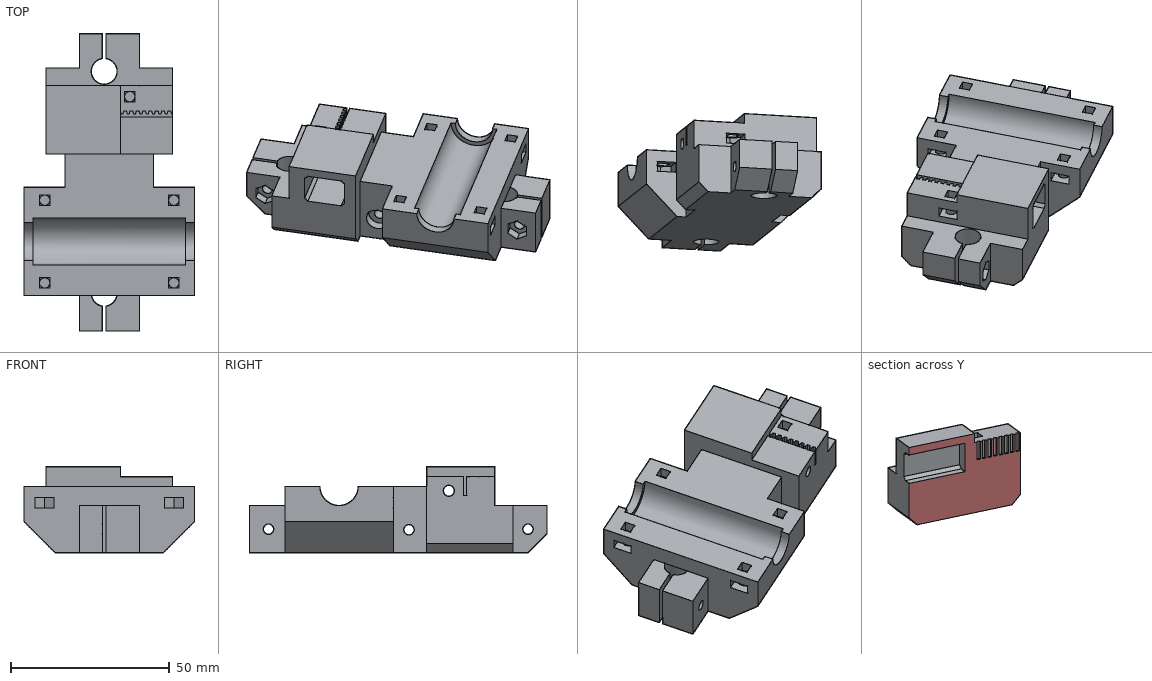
import cadquery as cq
import math

block_length = 54.0
block_front = -35.8
block_back = -1.5
block_height = 21.1
block_bottom_length = 34.0

neck_width = 28.0

belt_block_width = 40.0
belt_block_front = 8.9
belt_block_back = 30.55
belt_block_top = 27.3
shelf_top = 24.2
shelf_start = 3.6

part_length = 94.0
clamp_width = 19.0
clamp_center = 0.1
clamp_height = 15.0
plate_back = 36.2
rear_clamp_chamfer = 6.0
clamp_rod_diameter = 8.1
clamp_rod_x = -1.6
clamp_rod_front_y = -35.1
clamp_rod_rear_y = 35.1
clamp_slit = 1.1
clamp_bolt_y = 41.0
clamp_bolt_height = 7.5
clamp_left = clamp_center - clamp_width / 2
clamp_right = clamp_center + clamp_width / 2

seat_y = -18.7
seat_diameter = 14.85
seat_length = 48.3
rod_clearance_diameter = 12.0

clamp_bolt_diameter = 3.2
nut_corner_diameter = 7.0
nut_flats = nut_corner_diameter * math.cos(math.pi / 6)
nut_thickness = 3.2
clamp_nut_depth = 3.0
nut_cover = 3.6
window_size = 3.3
trap_bolt_diameter = 3.3
bolt_tip_depth = 6.0
trap_x = 20.4
trap_front_y = -31.8
trap_rear_y = -5.6
belt_trap_x = 6.5
belt_trap_y = 27.1

cross_hole_y = 3.4
cross_hole_height = 7.3
cross_hole_diameter = 3.2
counterbore_diameter = 7.0
counterbore_depth = 3.0

pocket_front = 12.6
pocket_back = 25.5
pocket_bottom = 14.9
pocket_top = 24.5
pocket_depth = belt_block_width / 2
pocket_chamfer = 1.0
tensioner_hole_y = 16.0
tensioner_hole_height = 19.6
tensioner_hole_diameter = 3.4

slot_front = 20.7
slot_back = 21.6
slot_depth = 6.0
tooth_count = 9
tooth_row_length = 16.0
tooth_pitch = tooth_row_length / (tooth_count - 1)
tooth_depth = 0.9
tooth_mouth_width = 1.4
tooth_end_width = 0.8
first_tooth_x = 3.0


def box(x_min, x_max, y_min, y_max, z_min, z_max):
    """Box given by its limits along each axis."""
    size = (x_max - x_min, y_max - y_min, z_max - z_min)
    return cq.Workplane("XY").box(*size, centered=False).translate((x_min, y_min, z_min))


def rod_along_x(diameter, x_min, x_max, y, z):
    """Cylinder along X."""
    plane = cq.Workplane("YZ", origin=(x_min, y, z))
    return plane.circle(diameter / 2).extrude(x_max - x_min)


def sloped_body(width, y_min, y_max, height):
    """Prism along Y whose lower edges follow the 45 degree slopes of the part."""
    half = width / 2
    bottom_half = block_bottom_length / 2
    slope_end = half - bottom_half
    outline = [
        (-bottom_half, 0),
        (bottom_half, 0),
        (half, slope_end),
        (half, height),
        (-half, height),
        (-half, slope_end),
    ]
    return cq.Workplane("XZ", origin=(0, y_max, 0)).polyline(outline).close().extrude(y_max - y_min)


def nut_trap(x, y, top, face_y):
    """Hex nut pocket opening at face_y, square window above it and bolt hole below."""
    nut_top = top - nut_cover
    nut_bottom = nut_top - nut_thickness
    half_flats = nut_flats / 2
    half_window = window_size / 2
    nut = (
        cq.Workplane("XY", origin=(x, y, nut_bottom))
        .transformed(rotate=(0, 0, 90))
        .polygon(6, nut_corner_diameter)
        .extrude(nut_thickness)
    )
    entry = box(x - half_flats, x + half_flats, min(y, face_y), max(y, face_y), nut_bottom, nut_top)
    window = box(x - half_window, x + half_window, y - half_window, y + half_window, nut_bottom, top)
    bolt = (
        cq.Workplane("XY", origin=(x, y, nut_bottom - bolt_tip_depth))
        .circle(trap_bolt_diameter / 2)
        .extrude(bolt_tip_depth)
    )
    return nut.union(entry).union(window).union(bolt)


def clamp_cut(rod_y, outward):
    """Rod hole, slit, cross bolt and nut recess of one clamp; outward is +1 or -1 along Y."""
    end_y = outward * part_length / 2
    bolt_y = outward * clamp_bolt_y
    rod = (
        cq.Workplane("XY", origin=(clamp_rod_x, rod_y, 0))
        .circle(clamp_rod_diameter / 2)
        .extrude(clamp_height)
    )
    slit = box(
        clamp_rod_x - clamp_slit / 2,
        clamp_rod_x + clamp_slit / 2,
        min(rod_y, end_y),
        max(rod_y, end_y),
        0,
        clamp_height,
    )
    bolt = rod_along_x(clamp_bolt_diameter, clamp_left, clamp_right, bolt_y, clamp_bolt_height)
    nut = (
        cq.Workplane("YZ", origin=(clamp_left, bolt_y, clamp_bolt_height))
        .transformed(rotate=(0, 0, 90))
        .polygon(6, nut_corner_diameter)
        .extrude(clamp_nut_depth)
    )
    return rod.union(slit).union(bolt).union(nut)


block_half = block_length / 2
belt_half = belt_block_width / 2
neck_half = neck_width / 2

block = sloped_body(block_length, block_front, block_back, block_height)
neck = box(-neck_half, neck_half, block_back, belt_block_front, 0, block_height)
plate = sloped_body(belt_block_width, belt_block_front, plate_back, clamp_height)
shelf = box(-belt_half, belt_half, belt_block_front, belt_block_back, clamp_height, shelf_top)
raised = box(-belt_half, shelf_start, belt_block_front, belt_block_back, shelf_top, belt_block_top)
front_clamp = box(clamp_left, clamp_right, -part_length / 2, block_front, 0, clamp_height)
rear_clamp = (
    box(clamp_left, clamp_right, plate_back, part_length / 2, 0, clamp_height)
    .edges(">Y and <Z")
    .chamfer(rear_clamp_chamfer)
)

result = block
for body in (neck, plate, shelf, raised, front_clamp, rear_clamp):
    result = result.union(body)

seat = rod_along_x(seat_diameter, -seat_length / 2, seat_length / 2, seat_y, block_height)
clearance = rod_along_x(rod_clearance_diameter, -block_half, block_half, seat_y, block_height)
result = result.cut(seat).cut(clearance)

result = result.cut(clamp_cut(clamp_rod_front_y, -1))
result = result.cut(clamp_cut(clamp_rod_rear_y, 1))

for side in (-1, 1):
    result = result.cut(nut_trap(side * trap_x, trap_front_y, block_height, block_front))
    result = result.cut(nut_trap(side * trap_x, trap_rear_y, block_height, block_back))
result = result.cut(nut_trap(belt_trap_x, belt_trap_y, shelf_top, belt_block_back))

result = result.cut(
    rod_along_x(cross_hole_diameter, -neck_half, neck_half, cross_hole_y, cross_hole_height)
)
counterbore_floor = -neck_half + counterbore_depth
result = result.cut(
    rod_along_x(counterbore_diameter, -neck_half, counterbore_floor, cross_hole_y, cross_hole_height)
)

pocket = box(-belt_half, -belt_half + pocket_depth, pocket_front, pocket_back, pocket_bottom, pocket_top)
result = result.cut(pocket.edges("|X").chamfer(pocket_chamfer))
result = result.cut(
    rod_along_x(tensioner_hole_diameter, -belt_half, belt_half, tensioner_hole_y, tensioner_hole_height)
)

slot_floor = shelf_top - slot_depth
belt_slot = box(shelf_start, belt_half, slot_front, slot_back, slot_floor, shelf_top)
tooth_outline = [
    (-tooth_mouth_width / 2, slot_back),
    (tooth_mouth_width / 2, slot_back),
    (tooth_end_width / 2, slot_back + tooth_depth),
    (-tooth_end_width / 2, slot_back + tooth_depth),
]
for index in range(tooth_count):
    tooth_x = first_tooth_x + index * tooth_pitch
    tooth = (
        cq.Workplane("XY", origin=(tooth_x, 0, slot_floor))
        .polyline(tooth_outline)
        .close()
        .extrude(slot_depth)
    )
    belt_slot = belt_slot.union(tooth)

shelf_region = box(shelf_start, belt_half, belt_block_front, belt_block_back, slot_floor, shelf_top)
result = result.cut(belt_slot.intersect(shelf_region))